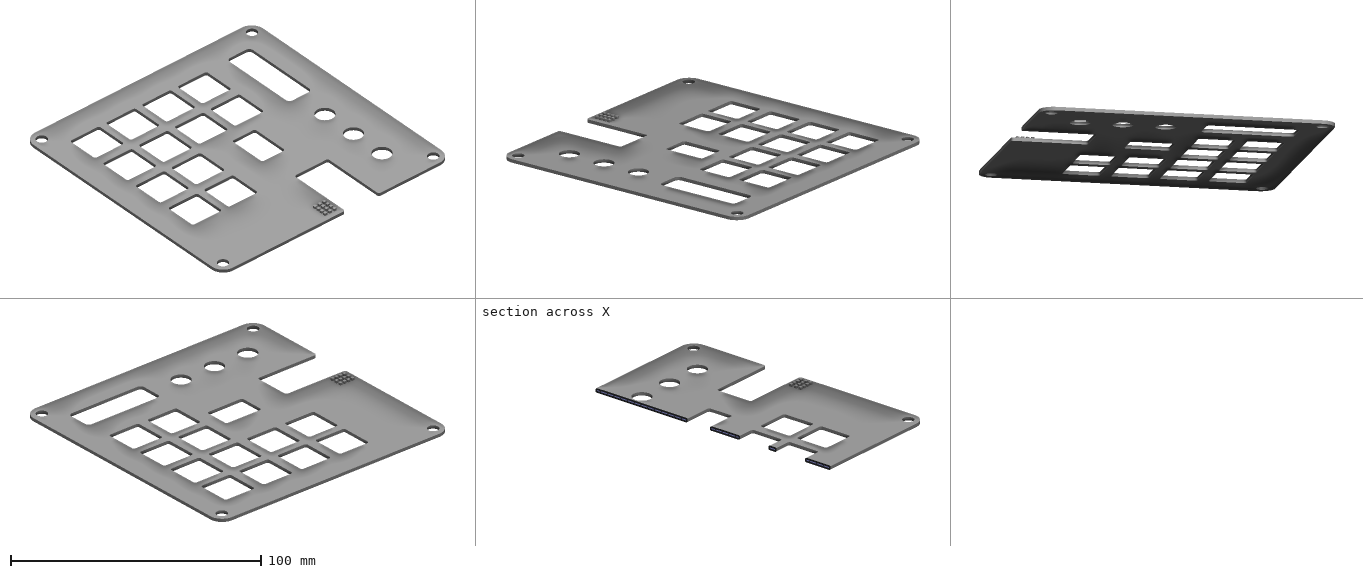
import cadquery as cq

side = 121.0
plate_thickness = 1.5
overall_height = 2.5
corner_radius = 6.0

mount_diameter = 5.0
mount_inset = 5.1

display_length = 38.1
display_width = 12.2
display_x = -28.9
display_y = 41.7
display_radius = 1.9

knob_diameter = 8.5
knob_count = 3
knob_span = 35.0
knob_pitch = knob_span / (knob_count - 1)
knob_first_x = 5.6
knob_y = 41.3

key_size = 15.4
key_pitch_x = 20.0
key_pitch_y = 18.9
key_first_x = -39.3
key_first_y = -40.2
keys_per_row = (4, 4, 2, 2)
cutout_radius = 1.0

window_length = 18.5
window_width = 12.1
window_x = 4.5
window_y = 7.3

notch_depth = 31.1
notch_width = 17.7
notch_y = 13.4

pad_size = 1.2
pad_columns = 4
pad_rows = 3
pad_pitch_x = 2.0
pad_pitch_y = 2.4
pad_center_x = 54.3
pad_center_y = -0.8


def rounded_cutter(length, width, radius, x, y):
    """Block as thick as the plate, with rounded upright edges, centred at x, y."""
    block = cq.Workplane("XY").rect(length, width).extrude(plate_thickness)
    return block.edges("|Z").fillet(radius).translate((x, y, 0))


def notched_plate():
    """Square plate with a notch in its +X edge and all upright edges rounded."""
    half = side / 2
    notch_floor_x = half - notch_depth
    notch_bottom = notch_y - notch_width / 2
    notch_top = notch_y + notch_width / 2
    outline = [
        (-half, -half),
        (half, -half),
        (half, notch_bottom),
        (notch_floor_x, notch_bottom),
        (notch_floor_x, notch_top),
        (half, notch_top),
        (half, half),
        (-half, half),
    ]
    body = cq.Workplane("XY").polyline(outline).close().extrude(plate_thickness)
    body = body.edges("|Z and (<Y or >Y)").fillet(corner_radius)
    margin = cutout_radius
    notch_zone = cq.selectors.BoxSelector(
        (notch_floor_x - margin, notch_bottom - margin, -margin),
        (half + margin, notch_top + margin, plate_thickness + margin),
    )
    return body.edges("|Z").edges(notch_zone).fillet(cutout_radius)


def cut_round_holes(body):
    """Corner mounting holes and the row of knob holes."""
    mount_spacing = side - 2 * mount_inset
    mounts = cq.Workplane("XY").rarray(mount_spacing, mount_spacing, 2, 2)
    body = body.cut(mounts.circle(mount_diameter / 2).extrude(plate_thickness))
    knob_points = [(knob_first_x + i * knob_pitch, knob_y) for i in range(knob_count)]
    knobs = cq.Workplane("XY").pushPoints(knob_points)
    return body.cut(knobs.circle(knob_diameter / 2).extrude(plate_thickness))


def cut_windows(body):
    """Display window and small window."""
    display = rounded_cutter(display_length, display_width, display_radius, display_x, display_y)
    window = rounded_cutter(window_length, window_width, cutout_radius, window_x, window_y)
    return body.cut(display).cut(window)


def cut_keys(body):
    """Rows of square key cutouts, the upper rows shorter than the lower ones."""
    for row, count in enumerate(keys_per_row):
        y = key_first_y + row * key_pitch_y
        for column in range(count):
            x = key_first_x + column * key_pitch_x
            body = body.cut(rounded_cutter(key_size, key_size, cutout_radius, x, y))
    return body


def add_pads(body):
    """Raised square pads, rooted at the plate's underside so they join it."""
    grid = cq.Workplane("XY").center(pad_center_x, pad_center_y)
    grid = grid.rarray(pad_pitch_x, pad_pitch_y, pad_columns, pad_rows)
    return body.union(grid.rect(pad_size, pad_size).extrude(overall_height))


plate = notched_plate()
plate = cut_round_holes(plate)
plate = cut_windows(plate)
plate = cut_keys(plate)
result = add_pads(plate)